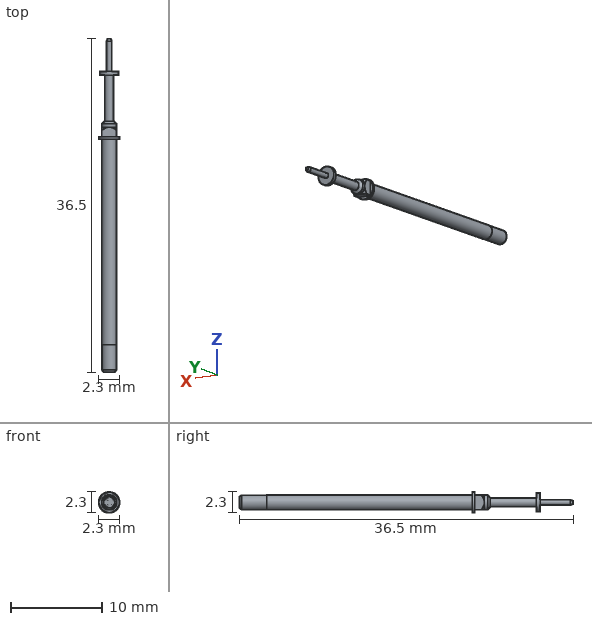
import cadquery as cq


collar_length = 0.3
drive_length = 1.05
neck_length = 0.35
shoulder_length = 0.3
plunger_length = 5.45
disc_thickness = 0.4
pin_length = 3.6
total_length = 36.55

barrel_diameter = 1.65
tail_diameter = 1.62
collar_diameter = 2.3
plunger_diameter = 1.0
disc_diameter = 2.1
pin_diameter = 0.6

tail_length = 3.0
tail_chamfer_length = 0.25
tail_chamfer_depth = 0.2
tip_chamfer_length = 0.3
tip_chamfer_depth = 0.12
drive_corner_diameter = collar_diameter

collar_front = collar_length
drive_front = collar_front + drive_length
neck_front = drive_front + neck_length
shoulder_front = neck_front + shoulder_length
disc_front = shoulder_front + plunger_length
disc_rear = disc_front - disc_thickness
tip = disc_front + pin_length
barrel_rear = tip - total_length
tail_front = barrel_rear + tail_length


def rod(diameter, start, end):
    """Round bar on the Y axis between two stations."""
    return cq.Workplane("XZ", origin=(0, start, 0)).circle(diameter / 2).extrude(start - end)


def cone(start_diameter, end_diameter, start, end):
    """Round taper on the Y axis between two stations."""
    outline = [(0, start), (start_diameter / 2, start), (end_diameter / 2, end), (0, end)]
    return cq.Workplane("XY").polyline(outline).close().revolve(360, (0, 0, 0), (0, 1, 0))


def make_barrel():
    chamfer_end = barrel_rear + tail_chamfer_length
    end_diameter = tail_diameter - 2 * tail_chamfer_depth
    end = cone(end_diameter, tail_diameter, barrel_rear, chamfer_end)
    tail = rod(tail_diameter, chamfer_end, tail_front)
    body = rod(barrel_diameter, tail_front, 0)
    collar = rod(collar_diameter, 0, collar_front)
    return end.union(tail).union(body).union(collar)


def make_drive():
    """Square section whose front corners run out on a 45 degree cone."""
    square = (
        cq.Workplane("XZ", origin=(0, collar_front, 0))
        .rect(barrel_diameter, barrel_diameter)
        .extrude(-drive_length)
    )
    cone_length = (drive_corner_diameter - barrel_diameter) / 2
    cone_rear = drive_front - cone_length
    envelope = rod(drive_corner_diameter, collar_front, cone_rear).union(
        cone(drive_corner_diameter, barrel_diameter, cone_rear, drive_front)
    )
    return square.intersect(envelope)


def make_neck():
    shoulder = cone(barrel_diameter, plunger_diameter, neck_front, shoulder_front)
    return rod(barrel_diameter, drive_front, neck_front).union(shoulder)


def make_plunger():
    chamfer_start = tip - tip_chamfer_length
    tip_diameter = pin_diameter - 2 * tip_chamfer_depth
    plunger = rod(plunger_diameter, shoulder_front, disc_rear)
    disc = rod(disc_diameter, disc_rear, disc_front)
    pin = rod(pin_diameter, disc_front, chamfer_start)
    point = cone(pin_diameter, tip_diameter, chamfer_start, tip)
    return plunger.union(disc).union(pin).union(point)


result = make_barrel().union(make_drive()).union(make_neck()).union(make_plunger())